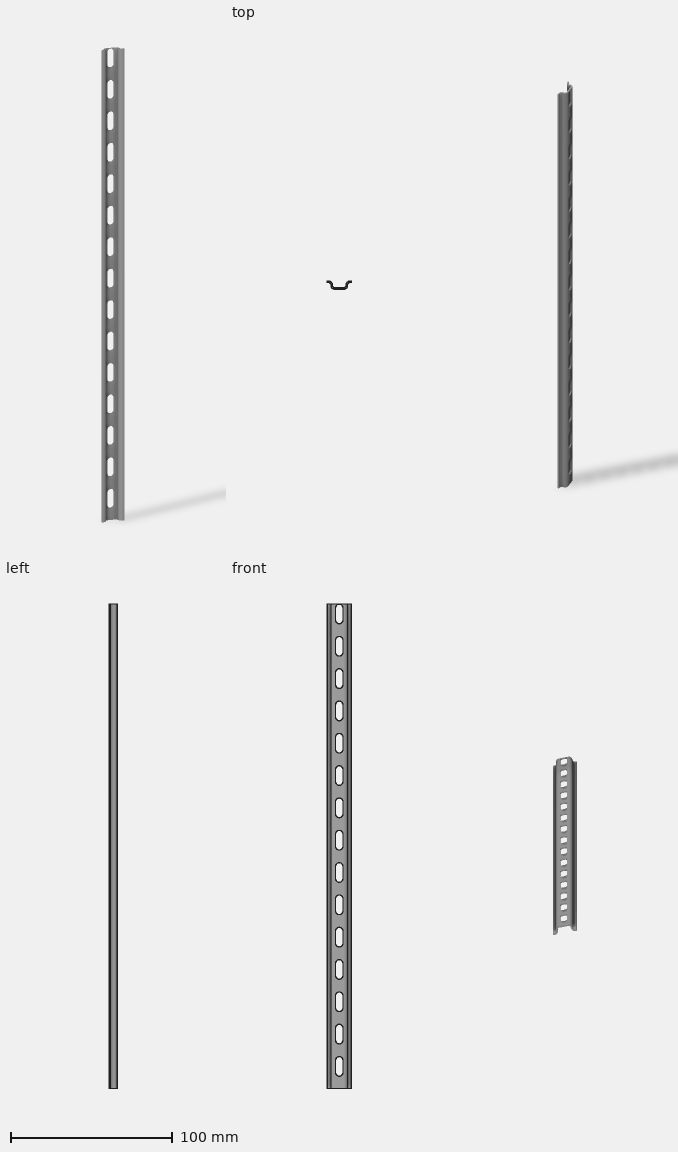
import cadquery as cq

length = 300.0
width = 15.0
height = 5.0
thickness = 1.0

channel_width = 10.2
base_inner_bend = 1.2
base_outer_bend = base_inner_bend + thickness
lip_inner_bend = 1.5
lip_outer_bend = lip_inner_bend + thickness

slot_count = 15
slot_length = 12.0
slot_width = 4.5
slot_pitch = length / slot_count
top_slot_offset = 6.3


def make_rail():
    """Extrude the hat profile, with its base on Y = 0 and its lips at Y = height."""
    half_width = width / 2
    wall_outside = channel_width / 2
    wall_inside = wall_outside - thickness
    lip_underside = height - thickness

    half_profile = (
        cq.Workplane("XY")
        .lineTo(wall_outside - base_outer_bend, 0)
        .radiusArc((wall_outside, base_outer_bend), -base_outer_bend)
        .lineTo(wall_outside, lip_underside - lip_inner_bend)
        .radiusArc((wall_outside + lip_inner_bend, lip_underside), lip_inner_bend)
        .lineTo(half_width, lip_underside)
        .lineTo(half_width, height)
        .lineTo(wall_inside + lip_outer_bend, height)
        .radiusArc((wall_inside, height - lip_outer_bend), -lip_outer_bend)
        .lineTo(wall_inside, base_outer_bend)
        .radiusArc((wall_inside - base_inner_bend, thickness), base_inner_bend)
        .lineTo(0, thickness)
        .close()
    )
    half_rail = half_profile.extrude(length)
    return half_rail.union(half_rail.mirror("YZ")).clean()


def make_slots():
    """Round-ended cutters that pass through the base along Y."""
    centres = [(0, length - top_slot_offset - i * slot_pitch) for i in range(slot_count)]
    return (
        cq.Workplane("XZ")
        .pushPoints(centres)
        .slot2D(slot_length, slot_width, 90)
        .extrude(height, both=True)
    )


result = make_rail().cut(make_slots())